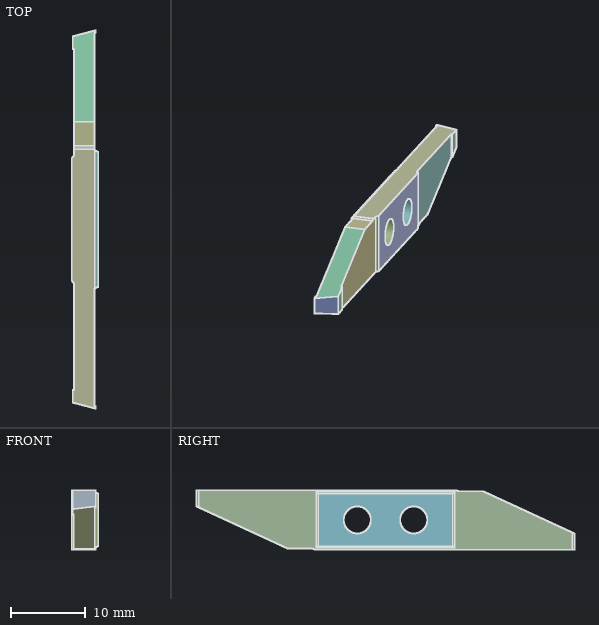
import cadquery as cq

length = 50.5
height = 8.0
thickness = 3.6
half_length = length / 2
half_height = height / 2

tip_height = 2.15
shoulder_y = 13.05
step_outer_y = 9.8
step_inner_y = 9.35
step_drop = 0.15

pad_height = 0.3
tip_land_height = 0.15
boss_height = 0.5
tip_lip_height = 0.15
pad_x = 0.0
web_front_x = pad_x + pad_height
tip_front_x = web_front_x - tip_land_height
web_back_x = thickness - boss_height
tip_back_x = web_back_x + tip_lip_height

pad_top_y = 8.15
pad_base_y = 8.55
land_inner_y = 22.7
land_outer_y = 24.45
lip_length = 0.35

boss_base_length = 18.5
boss_base_height = 7.45
boss_inset = 0.25

hole_diameter = 3.6
hole_spacing = 7.5


def make_side_body():
    """Bar with a sloping flank at each end, running through the full thickness."""
    shelf_z = half_height - step_drop
    half_outline = [
        (-half_length, half_height),
        (step_inner_y, half_height),
        (step_outer_y, shelf_z),
        (shoulder_y, shelf_z),
        (half_length, tip_height - half_height),
    ]
    turned_outline = [(-y, -z) for y, z in half_outline]
    return cq.Workplane("YZ").polyline(half_outline + turned_outline).close().extrude(thickness)


def make_plan_body():
    """Plan outline with the pad, tip lands, slanted ends and tip lips, mirrored about Y = 0."""
    half_outline = [
        (pad_x, pad_top_y),
        (web_front_x, pad_base_y),
        (web_front_x, land_inner_y),
        (tip_front_x, land_inner_y),
        (tip_front_x, land_outer_y),
        (tip_back_x, half_length),
        (tip_back_x, half_length - lip_length),
        (web_back_x, half_length - lip_length),
    ]
    mirrored_outline = [(x, -y) for x, y in reversed(half_outline)]
    outline = half_outline + mirrored_outline
    return cq.Workplane("XY").polyline(outline).close().extrude(half_height, both=True)


def make_boss():
    """Low rectangular boss whose four sides taper inward."""
    return (
        cq.Workplane("YZ", origin=(web_back_x, 0, 0))
        .rect(boss_base_length, boss_base_height)
        .workplane(offset=boss_height)
        .rect(boss_base_length - 2 * boss_inset, boss_base_height - 2 * boss_inset)
        .loft(combine=True)
    )


def make_holes():
    """Two round holes through the full thickness."""
    centres = [(-hole_spacing / 2, 0), (hole_spacing / 2, 0)]
    return cq.Workplane("YZ").pushPoints(centres).circle(hole_diameter / 2).extrude(thickness)


bar = make_side_body().intersect(make_plan_body())
result = bar.union(make_boss()).cut(make_holes())